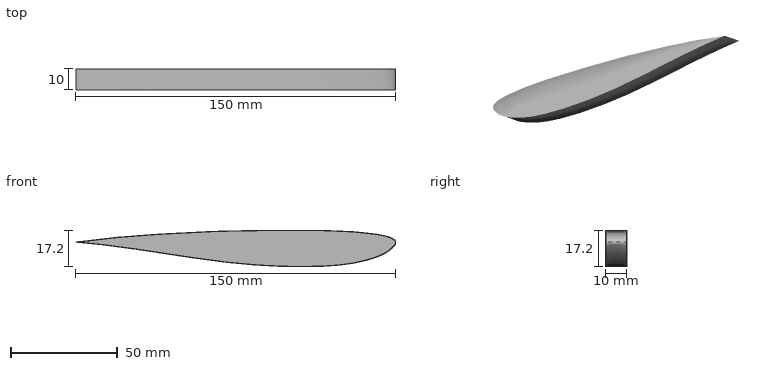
import cadquery as cq

chord = 150.0
span = 10.0

upper_stations = [
    (1.0, 1.35),
    (4.0, 2.65),
    (10.0, 3.85),
    (20.0, 4.9),
    (35.0, 5.5),
    (55.0, 5.57),
    (80.0, 5.2),
    (110.0, 3.8),
    (130.0, 2.3),
]
lower_stations = [
    (1.0, -2.1),
    (4.0, -4.6),
    (10.0, -7.4),
    (20.0, -9.9),
    (35.0, -11.38),
    (55.0, -11.32),
    (80.0, -9.4),
    (110.0, -5.1),
    (130.0, -2.2),
]

trailing_edge = (0.0, 0.0)
nose = (chord, 0.0)

nose_direction = (0.0, -1.0)


def to_profile(stations):
    """Turn distances behind the nose into X, Z points."""
    return [(chord - setback, height) for setback, height in stations]


def wing_section():
    """Extrude an outline of two smooth curves that meet at the nose and at the trailing edge."""
    upper_points = [trailing_edge] + to_profile(reversed(upper_stations)) + [nose]
    lower_points = [nose] + to_profile(lower_stations) + [trailing_edge]
    upper_tangents = [None] * (len(upper_points) - 1) + [nose_direction]
    lower_tangents = [nose_direction] + [None] * (len(lower_points) - 1)
    return (
        cq.Workplane("XZ", origin=(0, span / 2, 0))
        .spline(upper_points, tangents=upper_tangents)
        .spline(lower_points, tangents=lower_tangents)
        .close()
        .extrude(span)
    )


result = wing_section()